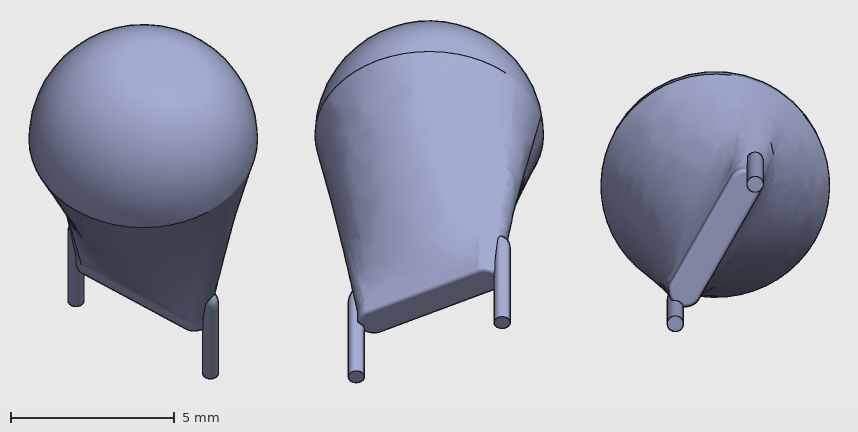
import cadquery as cq
import math

total_height = 13.1
dome_radius = 3.5
foot_bottom = 2.14
foot_top = 2.62
foot_half_length = 2.4
foot_half_width = 0.5
foot_flat_half_length = 1.95
foot_edge_round = 0.12
seam_half_width = 0.86
lead_diameter = 0.5
lead_offset = 2.5
lead_bend_start = 3.34
lead_bend_radius = 0.33

rim_height = total_height - dome_radius
rim_seam_x = math.sqrt(dome_radius**2 - seam_half_width**2)


def foot_outline(plane):
    """Flat-sided foot outline with arc ends."""
    return (
        plane.moveTo(-foot_flat_half_length, -foot_half_width)
        .lineTo(foot_flat_half_length, -foot_half_width)
        .threePointArc((foot_half_length, 0), (foot_flat_half_length, foot_half_width))
        .lineTo(-foot_flat_half_length, foot_half_width)
        .threePointArc((-foot_half_length, 0), (-foot_flat_half_length, -foot_half_width))
        .close()
    )


def rim_outline(plane):
    """Full circle split at the seams, so that its arcs pair with the foot's edges."""
    return (
        plane.moveTo(-rim_seam_x, -seam_half_width)
        .threePointArc((0, -dome_radius), (rim_seam_x, -seam_half_width))
        .threePointArc((dome_radius, 0), (rim_seam_x, seam_half_width))
        .threePointArc((0, dome_radius), (-rim_seam_x, seam_half_width))
        .threePointArc((-dome_radius, 0), (-rim_seam_x, -seam_half_width))
        .close()
    )


def make_foot():
    foot = foot_outline(cq.Workplane("XY", origin=(0, 0, foot_bottom))).extrude(foot_top - foot_bottom)
    return foot.faces("<Z").edges().fillet(foot_edge_round)


def make_body():
    """Ruled transition from the narrow foot to the round rim."""
    lower = foot_outline(cq.Workplane("XY", origin=(0, 0, foot_top)))
    both = rim_outline(lower.workplane(offset=rim_height - foot_top))
    return both.loft(ruled=True)


def make_dome():
    """Upper half of a sphere."""
    profile = (
        cq.Workplane("XZ")
        .moveTo(0, rim_height)
        .lineTo(dome_radius, rim_height)
        .radiusArc((0, total_height), -dome_radius)
        .close()
    )
    return profile.revolve(360, (0, 0, 0), (0, 1, 0))


def make_lead():
    """Round lead on the -X side that bends inward and ends inside the body."""
    straight = (
        cq.Workplane("XY").center(-lead_offset, 0).circle(lead_diameter / 2).extrude(lead_bend_start)
    )
    bend = (
        cq.Workplane("XY", origin=(-lead_offset, 0, lead_bend_start))
        .circle(lead_diameter / 2)
        .revolve(90, (lead_bend_radius, 0, 0), (lead_bend_radius, 1, 0))
    )
    return straight.union(bend)


lead = make_lead()
result = make_foot().union(make_body()).union(make_dome())
result = result.union(lead).union(lead.mirror("YZ"))